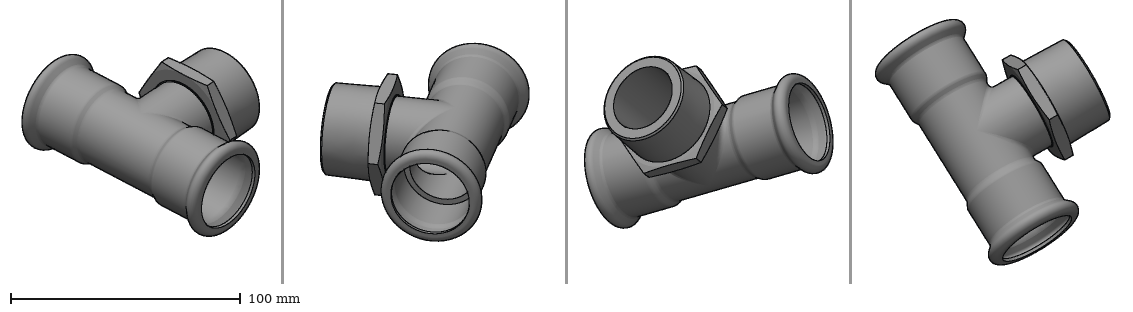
import cadquery as cq
import math

run_length = 102.0
half_run = run_length / 2
tube_radius = 34.8 / 2
bore_radius = 29.8 / 2

socket_radius = 38.0 / 2
wall = 1.5
socket_bore_radius = socket_radius - wall
mouth_radius = 19.4
bead_radius = 3.1
bead_center = half_run - bead_radius
bead_cone_fillet = 1.7
reducer_fillet = 2.4
reducer_start = 23.6
reducer_angle = math.radians(30)
socket_depth = 26.5

branch_end = 55.9
hex_start = 27.8
hex_end = 33.8
hex_across_flats = 46.0
hex_across_corners = hex_across_flats / math.cos(math.pi / 6)
hex_corner_drop = 0.8
seat_radius = 35.9 / 2
seat_height = 0.3
taper_base_radius = 41.5 / 2
taper_end_radius = 40.5 / 2
end_chamfer = 0.8
crotch_fillet = 2.0

select_margin = 0.1


def bead_mid_point(radius):
    """Point (X, Y) on the crown of a bead arc, midway between its ends."""
    middle_angle = math.pi / 8
    return (
        bead_center + radius * math.sin(middle_angle),
        mouth_radius + radius * math.cos(middle_angle),
    )


def ring_at(x):
    """Select the circular edges about the X axis at one X position."""
    reach = 2 * socket_radius
    low = (x - select_margin, -reach, -reach)
    high = (x + select_margin, reach, reach)
    return cq.selectors.BoxSelector(low, high, boundingbox=True)


def make_run():
    """Solid run: beaded sockets reduced to the plain tube."""
    diagonal = bead_radius * math.sqrt(0.5)
    cone_start = bead_center - diagonal
    cone_radius = mouth_radius + diagonal
    cone_end = cone_start - (cone_radius - socket_radius)
    reducer_end = reducer_start - (socket_radius - tube_radius) / math.tan(reducer_angle)
    crown_x, crown_y = bead_mid_point(bead_radius)
    run = (
        cq.Workplane("XY")
        .moveTo(-half_run, 0)
        .lineTo(half_run, 0)
        .lineTo(half_run, mouth_radius)
        .threePointArc((crown_x, crown_y), (cone_start, cone_radius))
        .lineTo(cone_end, socket_radius)
        .lineTo(reducer_start, socket_radius)
        .lineTo(reducer_end, tube_radius)
        .lineTo(-reducer_end, tube_radius)
        .lineTo(-reducer_start, socket_radius)
        .lineTo(-cone_end, socket_radius)
        .lineTo(-cone_start, cone_radius)
        .threePointArc((-crown_x, crown_y), (-half_run, mouth_radius))
        .close()
        .revolve(360, (0, 0, 0), (1, 0, 0))
    )
    for side in (-1, 1):
        run = run.edges(ring_at(side * cone_end)).fillet(bead_cone_fillet)
        run = run.edges(ring_at(side * reducer_start)).fillet(reducer_fillet)
        run = run.edges(ring_at(side * reducer_end)).fillet(reducer_fillet)
    return run


def make_socket_cavity():
    """Cavity of the +X socket: seal groove inside the bead, then the pipe seat."""
    groove_radius = bead_radius - wall
    diagonal = groove_radius * math.sqrt(0.5)
    cone_start = bead_center - diagonal
    cone_radius = mouth_radius + diagonal
    cone_end = cone_start - (cone_radius - socket_bore_radius)
    cavity = (
        cq.Workplane("XY")
        .moveTo(half_run - socket_depth, 0)
        .lineTo(half_run, 0)
        .lineTo(half_run, socket_bore_radius)
        .lineTo(half_run - wall, socket_bore_radius)
        .lineTo(half_run - wall, mouth_radius)
        .threePointArc(bead_mid_point(groove_radius), (cone_start, cone_radius))
        .lineTo(cone_end, socket_bore_radius)
        .lineTo(half_run - socket_depth, socket_bore_radius)
        .close()
        .revolve(360, (0, 0, 0), (1, 0, 0))
    )
    return cavity.edges(ring_at(cone_end)).fillet(bead_cone_fillet + wall)


def cylinder_y(radius, start, end):
    """Cylinder about the Y axis between two Y positions."""
    return cq.Workplane("XZ", origin=(0, start, 0)).circle(radius).extrude(start - end)


def cylinder_x(radius, start, end):
    """Cylinder about the X axis between two X positions."""
    return cq.Workplane("YZ", origin=(start, 0, 0)).circle(radius).extrude(end - start)


def make_hexagon():
    """Hexagon with corners on the X axis, both faces turned down to a circle."""
    prism = cq.Workplane("XZ", origin=(0, hex_start, 0)).polygon(6, hex_across_corners)
    prism = prism.extrude(hex_start - hex_end)
    turned = (
        cq.Workplane("XY")
        .polyline(
            [
                (0, hex_start),
                (hex_across_flats / 2, hex_start),
                (hex_across_corners / 2, hex_start + hex_corner_drop),
                (hex_across_corners / 2, hex_end - hex_corner_drop),
                (hex_across_flats / 2, hex_end),
                (0, hex_end),
            ]
        )
        .close()
        .revolve(360, (0, 0, 0), (0, 1, 0))
    )
    return prism.intersect(turned)


def make_male_end():
    """Tapered male end with a chamfered rim."""
    return (
        cq.Workplane("XY")
        .polyline(
            [
                (0, hex_end),
                (taper_base_radius, hex_end),
                (taper_end_radius, branch_end - end_chamfer),
                (taper_end_radius - end_chamfer, branch_end),
                (0, branch_end),
            ]
        )
        .close()
        .revolve(360, (0, 0, 0), (0, 1, 0))
    )


body = make_run().union(cylinder_y(tube_radius, 0, hex_start))
crotch_reach = tube_radius + select_margin
crotch = cq.selectors.BoxSelector(
    (-crotch_reach, -crotch_reach, -crotch_reach),
    (crotch_reach, crotch_reach, crotch_reach),
    boundingbox=True,
)
body = body.edges(crotch).fillet(crotch_fillet)

body = body.union(make_hexagon()).union(make_male_end())
body = body.union(cylinder_y(seat_radius, hex_start - seat_height, hex_start))

body = body.cut(cylinder_x(bore_radius, -half_run, half_run))
body = body.cut(cylinder_y(bore_radius, 0, branch_end))
socket_cavity = make_socket_cavity()
body = body.cut(socket_cavity).cut(socket_cavity.mirror("YZ"))

result = body